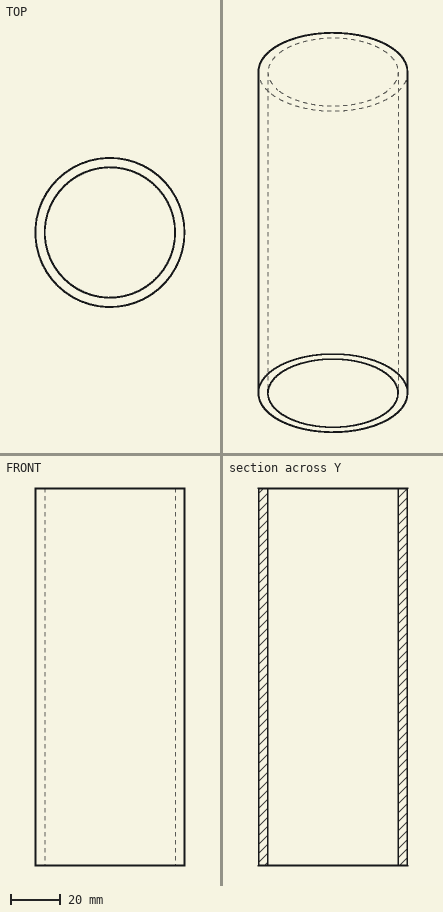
import cadquery as cq

length = 152.4
outer_diameter = 60.4
inner_diameter = 52.6

result = (
    cq.Workplane("XY")
    .circle(outer_diameter / 2)
    .circle(inner_diameter / 2)
    .extrude(length)
)